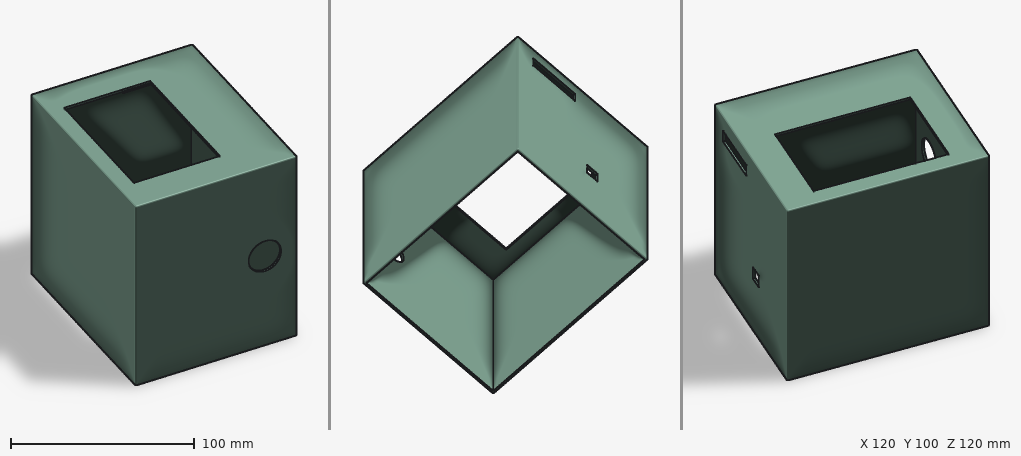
import cadquery as cq

length = 120.0
depth = 100.0
height = 120.0
wall = 1.5
edge_radius = 1.0

window_length = 80.0
window_depth = 53.0
window_center_y = -13.5

slot_width = 31.9
slot_height = 7.5
slot_center_y = 22.1
slot_center_z = 46.2
port_side = 8.0
port_center_y = -7.1
port_center_z = -19.0

hole_diameter = 20.0
hole_center_y = 30.0
hole_center_z = 0.0


def make_shell():
    """Box with rounded outer edges, hollowed out through its bottom."""
    body = cq.Workplane("XY").box(length, depth, height).edges().fillet(edge_radius)
    cavity_height = height - wall
    cavity = cq.Workplane("XY").box(length - 2 * wall, depth - 2 * wall, cavity_height)
    return body.cut(cavity.translate((0, 0, -wall / 2)))


def make_window():
    """Cutter that opens the top wall."""
    cutter = cq.Workplane("XY").box(window_length, window_depth, 2 * wall)
    return cutter.translate((0, window_center_y, height / 2 - wall / 2))


def make_side_opening(width, opening_height, center_y, center_z):
    """Rectangular cutter that passes through the -X wall only."""
    cutter = cq.Workplane("XY").box(2 * wall, width, opening_height)
    return cutter.translate((-length / 2 + wall / 2, center_y, center_z))


def make_round_hole():
    """Cylindrical cutter that passes through the +X wall only."""
    cutter = cq.Workplane("YZ").circle(hole_diameter / 2).extrude(wall, both=True)
    return cutter.translate((length / 2 - wall / 2, hole_center_y, hole_center_z))


result = (
    make_shell()
    .cut(make_window())
    .cut(make_side_opening(slot_width, slot_height, slot_center_y, slot_center_z))
    .cut(make_side_opening(port_side, port_side, port_center_y, port_center_z))
    .cut(make_round_hole())
)